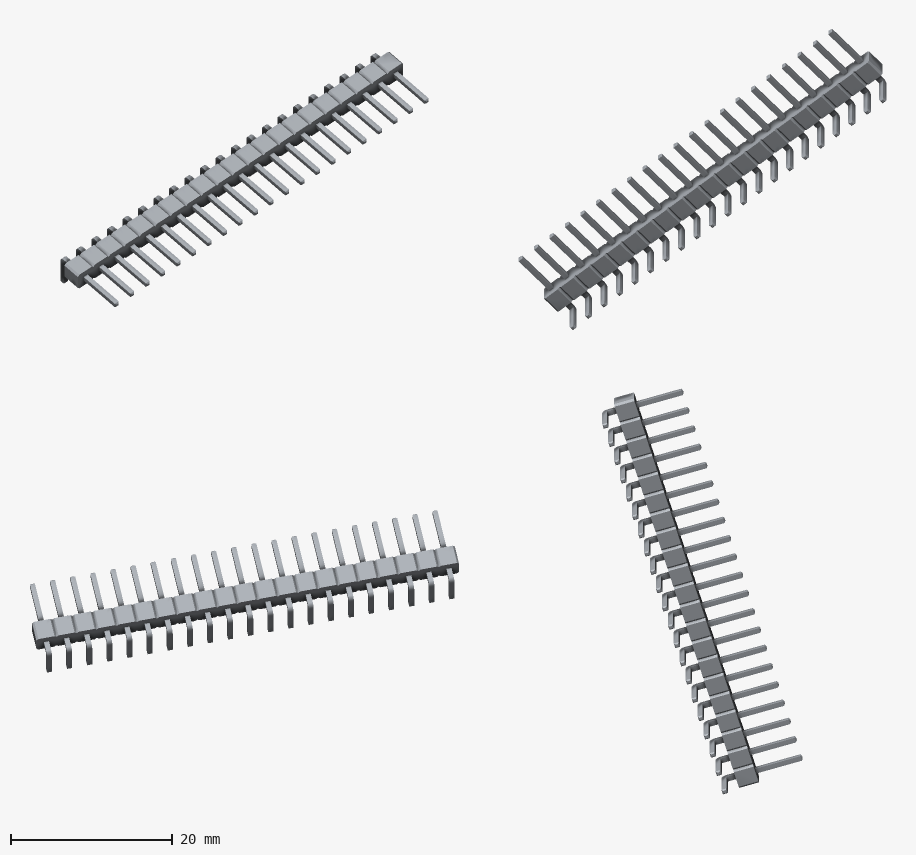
import cadquery as cq
import math

pin_count = 21
row_length = 53.35
total_width = 10.35
total_height = 5.55
housing_offset = 1.8
notch_depth = 0.255
pin_size = 0.65
tip_chamfer = 0.15

pitch = row_length / pin_count
half_pin = pin_size / 2
leg_tip_z = pitch / 2 - total_height
pin_positions = [(index - (pin_count - 1) / 2) * pitch for index in range(pin_count)]


def make_housing_cell():
    """Octagonal block around one pin; neighbouring bevels form the V notches."""
    return (
        cq.Workplane("YZ", origin=(housing_offset, 0, 0))
        .rect(pitch, pitch)
        .extrude(pitch)
        .edges("|X")
        .chamfer(notch_depth)
    )


def make_pin():
    """Right-angle square pin, rounded outside the bend and sharp inside it."""
    bend_radius = pin_size
    bend_inset = bend_radius * (1 - math.sqrt(0.5))
    return (
        cq.Workplane("XZ")
        .moveTo(0, leg_tip_z)
        .lineTo(0, half_pin - bend_radius)
        .threePointArc((bend_inset, half_pin - bend_inset), (bend_radius, half_pin))
        .lineTo(total_width, half_pin)
        .lineTo(total_width, -half_pin)
        .lineTo(pin_size, -half_pin)
        .lineTo(pin_size, leg_tip_z)
        .close()
        .extrude(half_pin, both=True)
        .faces(">X or <Z")
        .chamfer(tip_chamfer)
    )


unit = make_housing_cell().union(make_pin())
result = cq.Workplane("XY")
for y in pin_positions:
    result = result.union(unit.translate((0, y, 0)))